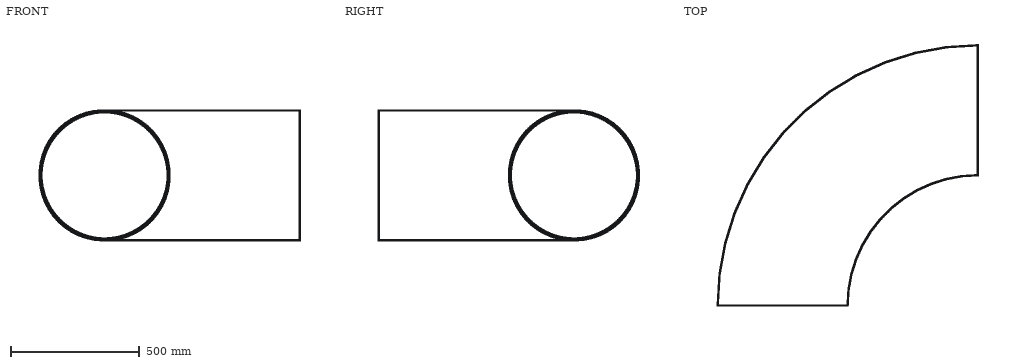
import cadquery as cq

outer_diameter = 508.0
wall_thickness = 8.0
bend_radius = 762.0
bend_angle = 90.0

outer_radius = outer_diameter / 2
inner_radius = outer_radius - wall_thickness

pipe_section = (
    cq.Workplane("XZ")
    .center(-bend_radius, 0)
    .circle(outer_radius)
    .circle(inner_radius)
)

bend_axis_start = (bend_radius, 0)
bend_axis_end = (bend_radius, -1)
result = pipe_section.revolve(bend_angle, bend_axis_start, bend_axis_end)